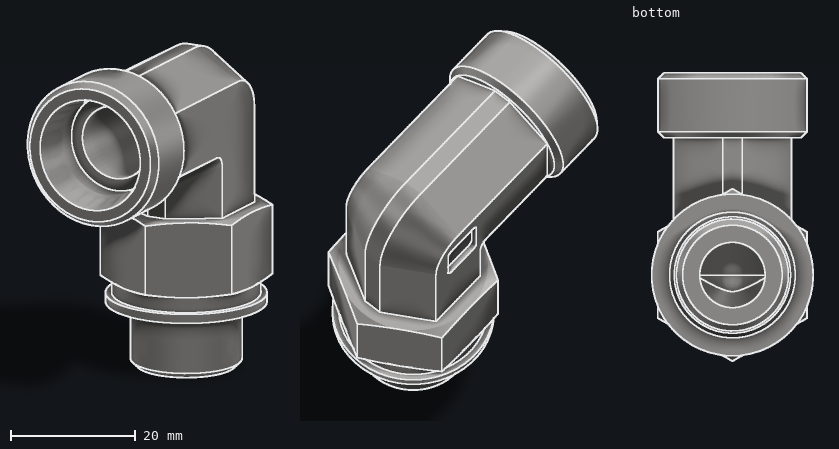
import cadquery as cq
import math


arm_width = 19.0
arm_half_height = 10.06
inner_fillet = 2.0

port_face_y = -32.5
collar_length = 10.5
collar_diameter = 24.0
collar_chamfer = 1.0
socket_diameter = 16.0
socket_depth = 8.5
socket_mouth_diameter = 18.3
socket_half_angle = 12.0

port_bore_diameter = 12.0
stem_bore_diameter = 10.5
drill_point_angle = 118.0

stem_diameter = 18.0
stem_end_z = -43.0
stem_chamfer = 1.0

nut_top_z = -16.0
nut_width = 24.0
nut_hex_height = 12.5
nut_chamfer_angle = 15.0
nut_shoulder_height = 2.5

washer_diameter = 26.0
washer_thickness = 1.5
lip_top_diameter = 20.2
lip_bottom_diameter = 18.7
lip_height = 0.7

recess_size = 7.0
recess_corner_radius = 0.9
recess_depth = 1.0
recess_center_y = -1.0
recess_center_z = -1.0

hex_half_angle = math.radians(30)
hex_side_ratio = math.tan(hex_half_angle)
collar_back_y = port_face_y + collar_length
nut_hex_bottom_z = nut_top_z - nut_hex_height
nut_bottom_z = nut_hex_bottom_z - nut_shoulder_height
washer_bottom_z = nut_bottom_z - washer_thickness


def upper_arm_points():
    """Upper half of the arm cross section, from the +X flat over to the -X flat."""
    half_width = arm_width / 2
    side_half = half_width * hex_side_ratio
    flat_half = (2 * side_half - arm_half_height) / hex_side_ratio
    return [
        (half_width, side_half),
        (flat_half, arm_half_height),
        (-flat_half, arm_half_height),
        (-half_width, side_half),
    ]


def arm_profile(plane):
    """Whole arm cross section, symmetric about the arm axis."""
    upper = upper_arm_points()
    lower = [(-x, -y) for x, y in upper]
    return cq.Workplane(plane).polyline(upper + lower).close()


def revolve_about(plane, points):
    """Solid of revolution about the local y axis of the plane, from (radius, position) points."""
    return cq.Workplane(plane).polyline(points).close().revolve(360, (0, 0, 0), (0, 1, 0))


def make_bend():
    """The two arms, joined by a rounded outer corner and a filleted inner corner."""
    port_arm = arm_profile("XZ").extrude(-collar_back_y)
    stem_arm = arm_profile("XY").extrude(nut_top_z)
    half_width = arm_width / 2
    half_section = [(half_width, 0), *upper_arm_points(), (-half_width, 0)]
    outer_corner = cq.Workplane("XZ").polyline(half_section).close().revolve(90, (0, 0, 0), (-1, 0, 0))
    bend = port_arm.union(stem_arm).union(outer_corner)

    match_tolerance = 0.001
    inner_edges = [
        edge
        for edge in bend.edges().vals()
        if all(abs(v.Y - v.Z) < match_tolerance and v.Y < 0 for v in edge.Vertices())
    ]
    return bend.newObject(inner_edges).fillet(inner_fillet)


def make_collar():
    """Round port collar, chamfered at both ends."""
    collar = cq.Workplane("XZ", origin=(0, collar_back_y, 0)).circle(collar_diameter / 2)
    return collar.extrude(collar_length).edges().chamfer(collar_chamfer)


def make_stem():
    """Round stem below the arm, chamfered at its free end."""
    stem = cq.Workplane("XY", origin=(0, 0, nut_top_z)).circle(stem_diameter / 2)
    return stem.extrude(stem_end_z - nut_top_z).faces("<Z").edges().chamfer(stem_chamfer)


def make_bore(plane, diameter, open_end):
    """Bore from its open end to the axis crossing, with a drill point beyond it."""
    radius = diameter / 2
    point_length = radius / math.tan(math.radians(drill_point_angle / 2))
    return revolve_about(plane, [(0, open_end), (radius, open_end), (radius, 0), (0, point_length)])


def make_socket():
    """Tube socket: a cone at the mouth, then a straight bore with a flat floor."""
    mouth_radius = socket_mouth_diameter / 2
    radius = socket_diameter / 2
    cone_length = (mouth_radius - radius) / math.tan(math.radians(socket_half_angle))
    floor_y = port_face_y + socket_depth
    return revolve_about(
        "XY",
        [
            (0, port_face_y),
            (mouth_radius, port_face_y),
            (radius, port_face_y + cone_length),
            (radius, floor_y),
            (0, floor_y),
        ],
    )


def make_recess():
    """Rounded square pocket in the -X flat of the elbow."""
    pocket = cq.Workplane("YZ", origin=(-arm_width / 2, recess_center_y, recess_center_z))
    return pocket.rect(recess_size, recess_size).extrude(recess_depth).edges("|X").fillet(recess_corner_radius)


def make_elbow():
    """Elbow body with collar, stem, flow bores, socket and recess."""
    elbow = make_bend().union(make_collar()).union(make_stem())
    port_bore = make_bore("XY", port_bore_diameter, port_face_y)
    stem_bore = make_bore("YZ", stem_bore_diameter, stem_end_z)
    passage = port_bore.union(stem_bore).union(make_socket())
    return elbow.cut(passage).cut(make_recess())


def make_locknut():
    """Hexagon nut with corners chamfered at both ends and a round shoulder below."""
    corner_radius = nut_width / 2 / math.cos(hex_half_angle)
    flat_radius = nut_width / 2
    drop = (corner_radius - flat_radius) * math.tan(math.radians(nut_chamfer_angle))
    hexagon = (
        cq.Workplane("XY", origin=(0, 0, nut_hex_bottom_z))
        .transformed(rotate=(0, 0, 90))
        .polygon(6, 2 * corner_radius)
        .extrude(nut_hex_height)
    )
    envelope = revolve_about(
        "XZ",
        [
            (0, nut_hex_bottom_z),
            (flat_radius, nut_hex_bottom_z),
            (corner_radius, nut_hex_bottom_z + drop),
            (corner_radius, nut_top_z - drop),
            (flat_radius, nut_top_z),
            (0, nut_top_z),
        ],
    )
    shoulder = cq.Workplane("XY", origin=(0, 0, nut_bottom_z)).circle(flat_radius).extrude(nut_shoulder_height)
    thread_hole = (
        cq.Workplane("XY", origin=(0, 0, nut_bottom_z))
        .circle(stem_diameter / 2)
        .extrude(nut_top_z - nut_bottom_z)
    )
    return hexagon.intersect(envelope).union(shoulder).cut(thread_hole)


def make_seal_washer():
    """Flat washer around the stem with a tapered sealing lip on its underside."""
    bore_radius = stem_diameter / 2
    lip_bottom_z = washer_bottom_z - lip_height
    return revolve_about(
        "XZ",
        [
            (bore_radius, nut_bottom_z),
            (washer_diameter / 2, nut_bottom_z),
            (washer_diameter / 2, washer_bottom_z),
            (lip_top_diameter / 2, washer_bottom_z),
            (lip_bottom_diameter / 2, lip_bottom_z),
            (bore_radius, lip_bottom_z),
        ],
    )


elbow = make_elbow()
locknut = make_locknut()
seal_washer = make_seal_washer()

result = cq.Compound.makeCompound([elbow.val(), locknut.val(), seal_washer.val()])